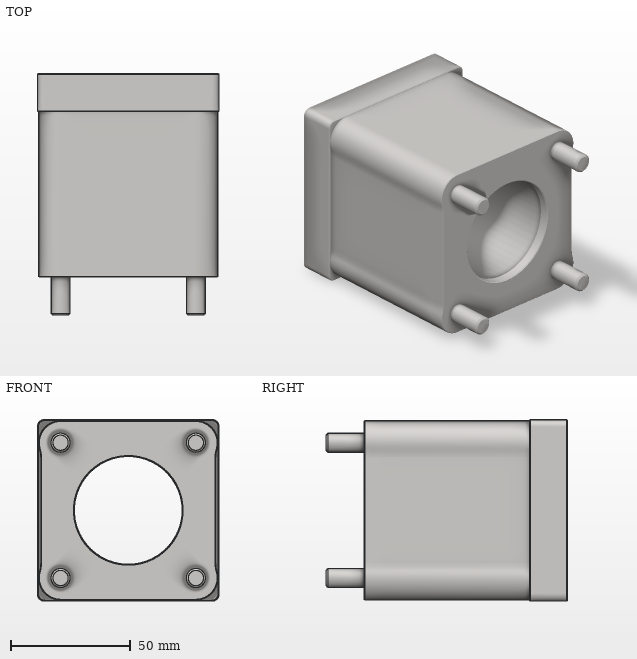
import cadquery as cq
import math

total_length = 101.0
cap_width = 76.0
cap_length = 16.0
cap_corner_radius = 3.0
cap_chamfer = 0.4

pin_diameter = 8.0
pin_length = 16.0
pin_chamfer = 0.8
pin_offset = 28.3

body_width = 74.9
side_recess = 0.9
blend_radius = 12.1
body_chamfer = 0.3

lip_diameter = 45.0
lip_length = 4.0
lip_chamfer = 0.4
bore_diameter = 48.0

body_half = body_width / 2
corner_radius = body_half - pin_offset
side_x = body_half - side_recess
front_y = -total_length / 2 + pin_length
back_y = total_length / 2
cap_front_y = back_y - cap_length


def plane_at(y):
    """XZ sketch plane at the given Y, extruding toward +Y; local y points to -Z."""
    return cq.Workplane(cq.Plane(origin=(0, y, 0), xDir=(1, 0, 0), normal=(0, 1, 0)))


def make_body():
    center_distance = corner_radius + blend_radius
    angle = math.acos(1 - side_recess / center_distance)
    flat_end = pin_offset - center_distance * math.sin(angle)

    def on_corner(turn):
        return (pin_offset + corner_radius * math.cos(turn), pin_offset + corner_radius * math.sin(turn))

    def on_blend(turn):
        return (side_x + blend_radius * (1 - math.cos(turn)), flat_end + blend_radius * math.sin(turn))

    quarter = (
        plane_at(front_y)
        .lineTo(side_x, 0)
        .lineTo(side_x, flat_end)
        .threePointArc(on_blend(angle / 2), on_corner(-angle))
        .threePointArc(on_corner(math.pi / 4), (pin_offset, body_half))
        .lineTo(0, body_half)
        .close()
        .extrude(cap_front_y - front_y)
    )
    half = quarter.union(quarter.mirror("YZ"))
    full = half.union(half.mirror("XY")).clean()
    return full.faces("<Y").edges().chamfer(body_chamfer)


def make_cap():
    return (
        plane_at(cap_front_y)
        .rect(cap_width, cap_width)
        .extrude(cap_length)
        .edges("|Y")
        .fillet(cap_corner_radius)
        .faces("<Y or >Y")
        .edges()
        .chamfer(cap_chamfer)
    )


def make_pins():
    return (
        plane_at(front_y - pin_length)
        .rect(2 * pin_offset, 2 * pin_offset, forConstruction=True)
        .vertices()
        .circle(pin_diameter / 2)
        .extrude(pin_length)
        .faces("<Y")
        .edges()
        .chamfer(pin_chamfer)
    )


def make_bore():
    lip = plane_at(front_y).circle(lip_diameter / 2).extrude(lip_length)
    bore_start = front_y + lip_length
    bore = plane_at(bore_start).circle(bore_diameter / 2).extrude(back_y - bore_start)
    mouth = (
        plane_at(front_y)
        .circle(lip_diameter / 2 + lip_chamfer)
        .workplane(offset=lip_chamfer)
        .circle(lip_diameter / 2)
        .loft()
    )
    return lip.union(bore).union(mouth)


result = make_body().union(make_cap()).union(make_pins()).cut(make_bore())